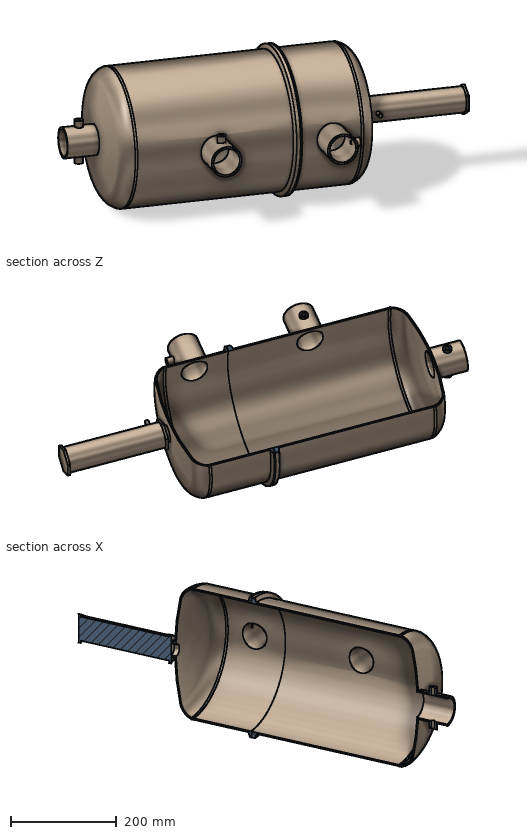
import cadquery as cq
import math


shell_radius = 136.5
wall = 4.0
upper_seam_y = 126.8
lower_seam_y = -319.3
skirt_length = 4.8
crown_radius = 515.0
knuckle_radius = 37.5
knuckle_centre_drop = 10.5

flange_radius = 146.05
flange_rim_half_width = 5.2
flange_shoulder_radius = 143.0
flange_shoulder_half_width = 7.0
flange_root_half_width = 8.8
joint_y = 2.4

pipe_radius = 30.15
pipe_bore_radius = 26.15
side_nozzle_reach = 200.15
upper_nozzle_y = 69.0
lower_nozzle_y = -162.8
bottom_nozzle_end_y = -423.6

coupling_radius = 8.25
coupling_bore_radius = 3.0
coupling_reach = 43.0
coupling_from_pipe_end = 31.5
side_coupling_x = side_nozzle_reach - coupling_from_pipe_end
bottom_coupling_y = bottom_nozzle_end_y + coupling_from_pipe_end

neck_radius = 16.85
neck_bore_radius = 11.9

cap_across_flats = 52.0
cap_thickness = 5.0
actuator_start_y = 176.2
actuator_end_y = 377.75
barrel_radius = 25.4
port_radius = 4.0
port_reach = 41.0
port_y = 196.6

knuckle_centre_radius = shell_radius - math.sqrt(knuckle_radius**2 - knuckle_centre_drop**2)


def knuckle_start_radius(offset):
    """Radius at which the knuckle, moved inward by offset, leaves the skirt."""
    return knuckle_centre_radius + math.sqrt((knuckle_radius - offset) ** 2 - knuckle_centre_drop**2)


bore_radius = knuckle_start_radius(wall)


def cylinder_between(start, end, radius):
    """A solid cylinder whose axis runs from start to end."""
    axis = cq.Vector(*end) - cq.Vector(*start)
    return cq.Workplane(cq.Solid.makeCylinder(radius, axis.Length, cq.Vector(*start), axis))


def dished_solid(offset):
    """Skirt, knuckle and crown as a solid standing on Y = 0, moved inward by offset."""
    start_radius = knuckle_start_radius(offset)
    knuckle = knuckle_radius - offset
    crown = crown_radius - offset
    centre_distance = crown_radius - knuckle_radius
    start_angle = math.asin(knuckle_centre_drop / knuckle)
    blend_angle = math.acos(knuckle_centre_radius / centre_distance)
    knuckle_centre_y = skirt_length - knuckle_centre_drop
    crown_centre_y = knuckle_centre_y - centre_distance * math.sin(blend_angle)

    def on_knuckle(angle):
        return knuckle_centre_radius + knuckle * math.cos(angle), knuckle_centre_y + knuckle * math.sin(angle)

    def on_crown(angle):
        return crown * math.cos(angle), crown_centre_y + crown * math.sin(angle)

    return (
        cq.Workplane("XY")
        .lineTo(start_radius, 0)
        .lineTo(start_radius, skirt_length)
        .threePointArc(on_knuckle((start_angle + blend_angle) / 2), on_knuckle(blend_angle))
        .threePointArc(on_crown((blend_angle + math.pi / 2) / 2), (0, crown_centre_y + crown))
        .close()
        .revolve(360, (0, 0, 0), (0, 1, 0))
    )


def upward_head(offset):
    return dished_solid(offset).translate((0, upper_seam_y, 0))


def downward_head(offset):
    return dished_solid(offset).mirror("XZ").translate((0, lower_seam_y, 0))


def flanged_cylinder(seam_y, side):
    """Solid cylinder from the joint plane to a head seam, with its share of the flange."""
    return (
        cq.Workplane("XY")
        .moveTo(0, joint_y)
        .lineTo(flange_radius, joint_y)
        .lineTo(flange_radius, side * flange_rim_half_width)
        .threePointArc(
            (flange_shoulder_radius, side * flange_shoulder_half_width),
            (shell_radius, side * flange_root_half_width),
        )
        .lineTo(shell_radius, seam_y)
        .lineTo(0, seam_y)
        .close()
        .revolve(360, (0, 0, 0), (0, 1, 0))
    )


def shell(seam_y, side, nozzle_y, coupling_direction):
    """Flanged tube with a side nozzle along +X that carries one coupling."""
    nozzle_start = (0, nozzle_y, 0)
    nozzle_end = (side_nozzle_reach, nozzle_y, 0)
    coupling_start = cq.Vector(side_coupling_x, nozzle_y, 0)
    coupling_end = coupling_start + cq.Vector(*coupling_direction) * coupling_reach
    coupling_axis = coupling_start.toTuple(), coupling_end.toTuple()
    return (
        flanged_cylinder(seam_y, side)
        .union(cylinder_between(nozzle_start, nozzle_end, pipe_radius))
        .union(cylinder_between(*coupling_axis, coupling_radius))
        .cut(cylinder_between((0, joint_y, 0), (0, seam_y, 0), bore_radius))
        .cut(cylinder_between(nozzle_start, nozzle_end, pipe_bore_radius))
        .cut(cylinder_between(*coupling_axis, coupling_bore_radius))
    )


def lower_head():
    """Head with the bottom nozzle, crossed by a coupling above and one below."""
    nozzle_start = (0, lower_seam_y, 0)
    nozzle_end = (0, bottom_nozzle_end_y, 0)
    couplings_start = (0, bottom_coupling_y, -coupling_reach)
    couplings_end = (0, bottom_coupling_y, coupling_reach)
    return (
        downward_head(0)
        .union(cylinder_between(nozzle_start, nozzle_end, pipe_radius))
        .union(cylinder_between(couplings_start, couplings_end, coupling_radius))
        .cut(downward_head(wall))
        .cut(cylinder_between(nozzle_start, nozzle_end, pipe_bore_radius))
        .cut(cylinder_between(couplings_start, couplings_end, coupling_bore_radius))
    )


def upper_head():
    """Head with the open neck that carries the actuator."""
    neck_start = (0, upper_seam_y, 0)
    neck_end = (0, actuator_start_y, 0)
    return (
        upward_head(0)
        .union(cylinder_between(neck_start, neck_end, neck_radius))
        .cut(upward_head(wall))
        .cut(cylinder_between(neck_start, neck_end, neck_bore_radius))
    )


def hexagonal_cap(start_y):
    """Hexagonal plate with two corners on the Z axis."""
    corner_diameter = cap_across_flats / math.cos(math.pi / 6)
    return (
        cq.Workplane("XZ", origin=(0, start_y, 0))
        .transformed(rotate=(0, 0, 90))
        .polygon(6, corner_diameter)
        .extrude(-cap_thickness)
    )


def actuator():
    """Barrel with a hexagonal cap at each end and a port stub on the +X side."""
    body = cylinder_between((0, actuator_start_y, 0), (0, actuator_end_y, 0), barrel_radius)
    body = body.union(cylinder_between((0, port_y, 0), (port_reach, port_y, 0), port_radius))
    for cap_start_y in (actuator_start_y, actuator_end_y - cap_thickness):
        body = body.union(hexagonal_cap(cap_start_y))
    return body


lower_shell = shell(lower_seam_y, -1, lower_nozzle_y, (0, 0, 1))
upper_shell = shell(upper_seam_y, 1, upper_nozzle_y, (0, 1, 0))

result = cq.Compound.makeCompound(
    [
        lower_head().val(),
        lower_shell.val(),
        upper_shell.val(),
        upper_head().val(),
        actuator().val(),
    ]
)